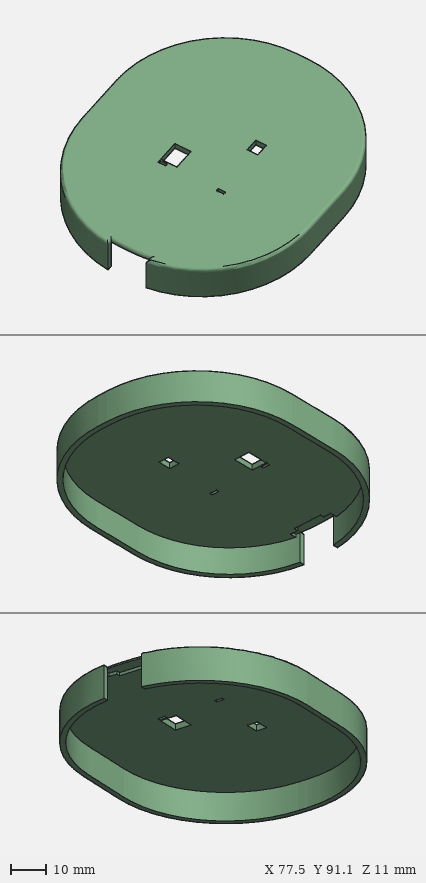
import cadquery as cq

width = 77.5
length = 91.3
height = 11.0
corner_radius = 37.0
top_thickness = 2.0
wall = 1.7
edge_round = 1.0

notch_width = 12.75
notch_center_x = 0.8

lip_thickness = 1.0
pocket_margin = 1.4
pocket_depth = 2.7
recess_width = notch_width - 2 * pocket_margin
recess_depth = pocket_depth + pocket_margin

switch_window = (9.0, 8.65, 3.55, 4.4)
port_window = (-8.4, -6.5, 5.5, 7.2)
charge_slot = (-9.8, -11.0, 2.5, 0.9)
led_slot = (9.9, -11.0, 2.5, 0.9)


def rounded_block(inset, block_height):
    """Block with the case outline moved inwards by the inset, standing on z = 0."""
    return (
        cq.Workplane("XY")
        .rect(width - 2 * inset, length - 2 * inset)
        .extrude(block_height)
        .edges("|Z")
        .fillet(corner_radius - inset)
    )


def notch_cutter():
    """Piece of the front wall, cut back to the line of the inner wall face."""
    slab = (
        cq.Workplane("XY")
        .box(notch_width, length / 2, height, centered=(True, False, False))
        .translate((notch_center_x, -length / 2, 0))
    )
    return slab.cut(rounded_block(wall, height))


def pocket_step(step_width, step_depth):
    """Block below the lip, reaching the given depth inwards from the inner wall face."""
    return (
        cq.Workplane("XY")
        .box(step_width, step_depth, height - lip_thickness, centered=(True, False, False))
        .translate((notch_center_x, -length / 2 + wall, 0))
    )


def pocket_cutter():
    """Relief that thins the top to a lip, kept inside the inner wall face."""
    wide_step = pocket_step(notch_width + 2 * pocket_margin, pocket_depth)
    deep_step = pocket_step(recess_width, recess_depth)
    return wide_step.union(deep_step).intersect(rounded_block(wall, height))


def window_cutter(center_x, center_y, size_x, size_y):
    return (
        cq.Workplane("XY")
        .center(center_x, center_y)
        .rect(size_x, size_y)
        .extrude(height)
    )


def make_case():
    case = rounded_block(0, height).cut(notch_cutter())
    case = case.faces(">Z").edges().fillet(edge_round)
    case = case.cut(rounded_block(wall, height - top_thickness))
    case = case.cut(pocket_cutter())
    for window in (switch_window, port_window, charge_slot, led_slot):
        case = case.cut(window_cutter(*window))
    return case


case = make_case()

result = cq.Compound.makeCompound([case.val()])